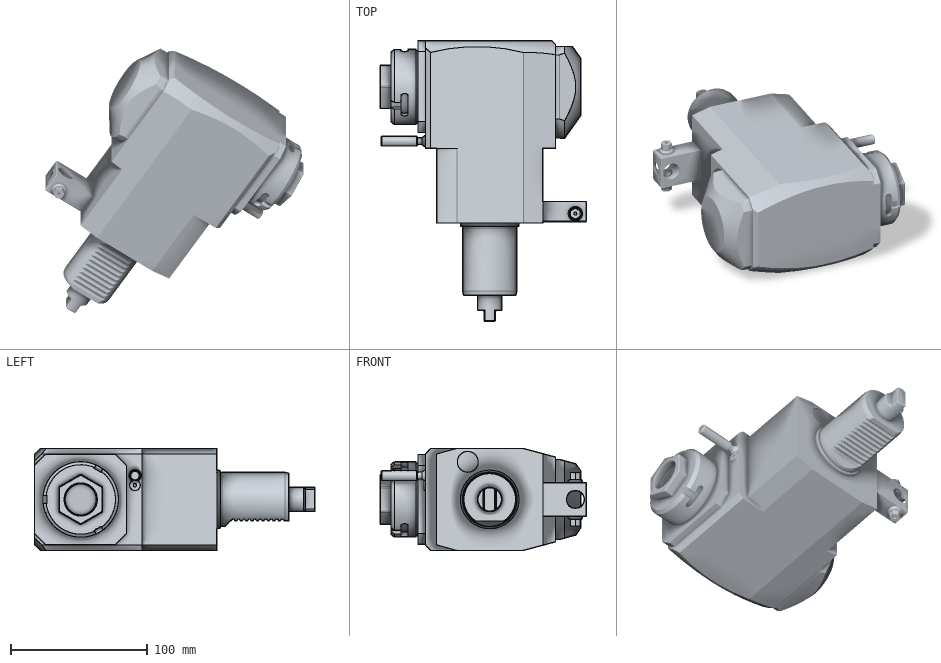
import cadquery as cq
import math


HALF_HEIGHT = 37.5
BACK_Y = 134.0
SHOULDER_Y = 54.9
HEAD_LEFT_X = -47.2
HEAD_RIGHT_X = 48.3
NECK_HALF_WIDTH = 39.0
SIDE_HALF_HEIGHT = 33.3
HEAD_CHAMFER_X = 3.8
NECK_BEVEL_X = 15.0
TAPER_ANGLE = 15.0
TAPER_START_X = 24.6
BACK_CHAMFER = 4.4
BACK_ARC_RADIUS = 136.0
BACK_ARC_CENTER_X = -9.5
BACK_CORNER_CHAMFER = 2.9
PLUG_X = -16.1
PLUG_Z = 27.6
PLUG_DIAMETER = 15.3
PLUG_RECESS = 1.0

SPINDLE_Y = 100.0
PLATE_LEFT_X = -52.8
PLATE_LENGTH = 67.5
PLATE_HALF_HEIGHT = 33.0
PLATE_CHAMFER = 8.0
GAP_LENGTH = 1.4
GAP_RADIUS = 26.8
NUT_RADIUS = 27.7
NUT_RIGHT_X = PLATE_LEFT_X - GAP_LENGTH
NUT_LEFT_X = -72.6
NUT_CHAMFER_LENGTH = 2.6
NUT_CHAMFER_DEPTH = 2.2
NUT_SLOT_COUNT = 3
NUT_SLOT_DEPTH = 3.6
NUT_SLOT_CENTER_X = -62.5
NUT_SLOT_WIDTH = 5.4
NUT_SLOT_LENGTH = 19.2
NUT_NOTCH_WIDTH = 5.8
NUT_NOTCH_DEPTH = 3.0
HEX_LEFT_X = -80.5
HEX_ACROSS_FLATS = 32.0
HEX_EDGE_FILLET = 1.2
HEX_EDGE_CHAMFER = 0.5
HEX_BORE_DIAMETER = 24.4
HEX_BORE_DEPTH = 7.0
HEX_BORE_CHAMFER = 0.4

PIN_Y = 60.2
PIN_Z = 17.5
PIN_LEFT_X = -79.8
PIN_RIGHT_X = -53.0
PIN_RADIUS = 3.7
PIN_CHAMFER = 0.6
PIN_NECK_RADIUS = 2.6
PIN_CONE_START_X = -49.8
PIN_BASE_RADIUS = 4.4
SCREW_Z = 10.4
SCREW_RADIUS = 3.9
SCREW_HEIGHT = 1.2
SCREW_SOCKET_DIAMETER = 2.4

COVER_RIM_X = 55.0
COVER_RIGHT_X = 66.9
COVER_RADIUS = 37.7
COVER_END_RADIUS = 20.9
COVER_TOP_Y = SPINDLE_Y + 29.8
COVER_HALF_HEIGHT = 29.4
COVER_TAPER_START_X = 51.3

SHANK_RADIUS = 20.0
SHANK_END_Y = -53.0
SHANK_END_TAPER = 3.2
SHANK_END_RELIEF = 0.6
SHANK_END_CHAMFER = 0.5
FLANGE_RADIUS = 21.5
FLANGE_LENGTH = 2.4
FLANGE_FILLET = 1.0
NECK_LENGTH = 1.2
NECK_RELIEF = 0.3
RACK_FLAT_Z = -15.8
RACK_RAMP_END_Y = -9.7
RACK_PITCH = 4.0
RACK_GROOVES = 10
RACK_FIRST_Y = -11.8
RACK_DEPTH = 1.4
RACK_MOUTH = 3.2
RACK_ROOT = 0.9

DRIVE_RADIUS = 9.0
DRIVE_END_Y = -72.0
TANG_SHOULDER_Y = -64.0
TANG_THICKNESS = 8.3
DRIVE_CHAMFER = 0.4
TANG_EDGE_CHAMFER = 0.8
TANG_END_CHAMFER = 0.5
TANG_ROOT = 0.8

ARM_END_X = 71.0
ARM_FRONT_Y = 1.0
ARM_BACK_Y = 16.0
ARM_HALF_HEIGHT = 12.5
ARM_CHAMFER = 0.5
ARM_HOLE_X = 62.8
ARM_HOLE_DIAMETER = 13.0
ARM_CROSS_HOLE_DIAMETER = 9.0
BOLT_Y = 7.0
BOLT_FLANGE_RADIUS = 5.2
BOLT_FLANGE_STEP_RADIUS = 4.4
BOLT_FLANGE_HEIGHT = 1.2
BOLT_STEP_HEIGHT = 1.0
BOLT_HEAD_ACROSS_FLATS = 7.0
BOLT_BORE_RADIUS = 4.6
BOLT_TIP_RADIUS = 3.5
BOLT_TIP_Z = 6.2
BOLT_HEAD_TOP_Z = 19.6
BOLT_SOCKET_DIAMETER = 2.2
BOLT_SOCKET_DEPTH = 3.0

OVERLAP = 1.0
HEX_SIDES = 6
HEX_HALF_ANGLE = 180 / HEX_SIDES
TAPER_SLOPE = math.tan(math.radians(TAPER_ANGLE))


def revolve_about_x(points, y, z):
    """Solid of revolution about the line parallel to X through (y, z); points are (x, radius)."""
    profile = cq.Workplane("XY").polyline(points).close()
    return profile.revolve(360, (0, 0, 0), (1, 0, 0)).translate((0, y, z))


def revolve_about_y(points):
    """Solid of revolution about the Y axis; points are (radius, y)."""
    return cq.Workplane("XY").polyline(points).close().revolve(360, (0, 0, 0), (0, 1, 0))


def cylinder_x(radius, x_start, x_end, y, z):
    plane = cq.Workplane("YZ", origin=(x_start, y, z))
    return plane.circle(radius).extrude(x_end - x_start)


def block(x_range, y_range, z_range):
    size = [high - low for low, high in (x_range, y_range, z_range)]
    corner = (x_range[0], y_range[0], z_range[0])
    return cq.Workplane("XY").box(*size, centered=False).translate(corner)


def taper_height(x):
    return HALF_HEIGHT - (x - TAPER_START_X) * TAPER_SLOPE


def housing_section(left_x, bevel_x, right_x, y_start, y_end):
    """Housing cross-section with a bevelled left side and a tapered right side."""
    upper = [
        (left_x, SIDE_HALF_HEIGHT),
        (left_x + bevel_x, HALF_HEIGHT),
        (TAPER_START_X, HALF_HEIGHT),
        (right_x, taper_height(right_x)),
    ]
    lower = [(x, -z) for x, z in reversed(upper)]
    plane = cq.Workplane("XZ", origin=(0, y_start, 0))
    return plane.polyline(upper + lower).close().extrude(y_start - y_end)


def make_housing():
    head = housing_section(HEAD_LEFT_X, HEAD_CHAMFER_X, HEAD_RIGHT_X, SHOULDER_Y, BACK_Y)
    head = head.edges("|Z and >X and >Y").chamfer(BACK_CORNER_CHAMFER)
    middle_radius = BACK_ARC_RADIUS + HALF_HEIGHT
    double_cone = (
        cq.Workplane("XZ")
        .polyline([
            (0, -HALF_HEIGHT),
            (BACK_ARC_RADIUS, -HALF_HEIGHT),
            (middle_radius, 0),
            (BACK_ARC_RADIUS, HALF_HEIGHT),
            (0, HALF_HEIGHT),
        ])
        .close()
        .revolve(360, (0, 0, 0), (0, 1, 0))
        .translate((BACK_ARC_CENTER_X, BACK_Y - BACK_CHAMFER - BACK_ARC_RADIUS, 0))
    )
    head = head.intersect(double_cone)
    neck = housing_section(-NECK_HALF_WIDTH, NECK_BEVEL_X, NECK_HALF_WIDTH, 0, SHOULDER_Y + OVERLAP)
    plug = cq.Workplane("XZ", origin=(PLUG_X, 0, PLUG_Z)).circle(PLUG_DIAMETER / 2).extrude(-PLUG_RECESS)
    return head.union(neck).cut(plug)


def make_plate():
    plate = block(
        (PLATE_LEFT_X, HEAD_LEFT_X + OVERLAP),
        (BACK_Y - PLATE_LENGTH, BACK_Y),
        (-PLATE_HALF_HEIGHT, PLATE_HALF_HEIGHT),
    )
    return plate.edges("|X").chamfer(PLATE_CHAMFER)


def make_nut_slot():
    """Rounded slot along the nut's rim, open to a notch in its end face, on the +Y side."""
    outer_radius = NUT_RADIUS + OVERLAP
    floor_radius = NUT_RADIUS - NUT_SLOT_DEPTH
    slot = (
        cq.Workplane("XZ", origin=(NUT_SLOT_CENTER_X, 0, 0))
        .slot2D(NUT_SLOT_LENGTH, NUT_SLOT_WIDTH, 90)
        .extrude(-outer_radius)
        .cut(cylinder_x(floor_radius, NUT_LEFT_X, NUT_RIGHT_X, 0, 0))
    )
    notch = block(
        (NUT_LEFT_X - OVERLAP, NUT_SLOT_CENTER_X),
        (NUT_RADIUS - NUT_NOTCH_DEPTH, outer_radius),
        (-NUT_NOTCH_WIDTH / 2, NUT_NOTCH_WIDTH / 2),
    )
    return slot.union(notch)


def make_nut():
    nut = revolve_about_x(
        [
            (NUT_LEFT_X, 0),
            (NUT_LEFT_X, NUT_RADIUS - NUT_CHAMFER_DEPTH),
            (NUT_LEFT_X + NUT_CHAMFER_LENGTH, NUT_RADIUS),
            (NUT_RIGHT_X, NUT_RADIUS),
            (NUT_RIGHT_X, GAP_RADIUS),
            (PLATE_LEFT_X + OVERLAP, GAP_RADIUS),
            (PLATE_LEFT_X + OVERLAP, 0),
        ],
        0,
        0,
    )
    slot = make_nut_slot()
    for index in range(NUT_SLOT_COUNT):
        nut = nut.cut(slot.rotate((0, 0, 0), (1, 0, 0), index * 360 / NUT_SLOT_COUNT))
    return nut.translate((0, SPINDLE_Y, 0))


def make_hexagon():
    corner_diameter = HEX_ACROSS_FLATS / math.cos(math.radians(HEX_HALF_ANGLE))
    hexagon = (
        cq.Workplane("YZ", origin=(HEX_LEFT_X, 0, 0))
        .polygon(HEX_SIDES, corner_diameter)
        .extrude(NUT_LEFT_X + OVERLAP - HEX_LEFT_X)
        .rotate((0, 0, 0), (1, 0, 0), 90)
        .edges("|X")
        .fillet(HEX_EDGE_FILLET)
        .faces("<X")
        .chamfer(HEX_EDGE_CHAMFER)
    )
    bore_radius = HEX_BORE_DIAMETER / 2
    floor_x = HEX_LEFT_X + HEX_BORE_DEPTH
    bore = revolve_about_x(
        [
            (HEX_LEFT_X, 0),
            (HEX_LEFT_X, bore_radius),
            (HEX_LEFT_X + HEX_BORE_CHAMFER, bore_radius - HEX_BORE_CHAMFER),
            (floor_x - HEX_BORE_CHAMFER, bore_radius - HEX_BORE_CHAMFER),
            (floor_x, bore_radius - 2 * HEX_BORE_CHAMFER),
            (floor_x, 0),
        ],
        0,
        0,
    )
    return hexagon.cut(bore).translate((0, SPINDLE_Y, 0))


def make_pin():
    return revolve_about_x(
        [
            (PIN_LEFT_X, 0),
            (PIN_LEFT_X, PIN_RADIUS - PIN_CHAMFER),
            (PIN_LEFT_X + PIN_CHAMFER, PIN_RADIUS),
            (PIN_RIGHT_X - PIN_CHAMFER, PIN_RADIUS),
            (PIN_RIGHT_X, PIN_RADIUS - PIN_CHAMFER),
            (PIN_RIGHT_X, PIN_NECK_RADIUS),
            (PIN_CONE_START_X, PIN_NECK_RADIUS),
            (HEAD_LEFT_X, PIN_BASE_RADIUS),
            (HEAD_LEFT_X + OVERLAP, PIN_BASE_RADIUS),
            (HEAD_LEFT_X + OVERLAP, 0),
        ],
        PIN_Y,
        PIN_Z,
    )


def make_small_screw():
    left_x = HEAD_LEFT_X - SCREW_HEIGHT
    screw = cylinder_x(SCREW_RADIUS, left_x, HEAD_LEFT_X + OVERLAP, PIN_Y, SCREW_Z)
    socket = cylinder_x(SCREW_SOCKET_DIAMETER / 2, left_x, HEAD_LEFT_X, PIN_Y, SCREW_Z)
    return screw.cut(socket)


def make_cover():
    start_x = HEAD_RIGHT_X - OVERLAP
    cover = revolve_about_x(
        [
            (start_x, 0),
            (start_x, COVER_RADIUS),
            (COVER_RIM_X, COVER_RADIUS),
            (COVER_RIGHT_X, COVER_END_RADIUS),
            (COVER_RIGHT_X, 0),
        ],
        SPINDLE_Y,
        0,
    )
    end_height = COVER_HALF_HEIGHT - (COVER_RIGHT_X - COVER_TAPER_START_X) * TAPER_SLOPE
    upper = [
        (start_x, COVER_HALF_HEIGHT),
        (COVER_TAPER_START_X, COVER_HALF_HEIGHT),
        (COVER_RIGHT_X, end_height),
    ]
    lower = [(x, -z) for x, z in reversed(upper)]
    envelope = (
        cq.Workplane("XZ", origin=(0, COVER_TOP_Y, 0))
        .polyline(upper + lower)
        .close()
        .extrude(COVER_TOP_Y - SPINDLE_Y + COVER_RADIUS)
    )
    return cover.intersect(envelope)


def make_rack_cut():
    """Flat with a run-out ramp and cross grooves on the underside of the shank."""
    bottom_z = -FLANGE_RADIUS
    ramp_start_y = RACK_RAMP_END_Y + RACK_FLAT_Z - bottom_z
    flat = (
        cq.Workplane("YZ")
        .polyline([
            (ramp_start_y, bottom_z),
            (RACK_RAMP_END_Y, RACK_FLAT_Z),
            (SHANK_END_Y, RACK_FLAT_Z),
            (SHANK_END_Y, bottom_z),
        ])
        .close()
        .extrude(SHANK_RADIUS, both=True)
    )
    for index in range(RACK_GROOVES):
        center_y = RACK_FIRST_Y - index * RACK_PITCH
        groove = (
            cq.Workplane("YZ")
            .polyline([
                (center_y - RACK_MOUTH / 2, RACK_FLAT_Z),
                (center_y - RACK_ROOT / 2, RACK_FLAT_Z + RACK_DEPTH),
                (center_y + RACK_ROOT / 2, RACK_FLAT_Z + RACK_DEPTH),
                (center_y + RACK_MOUTH / 2, RACK_FLAT_Z),
            ])
            .close()
            .extrude(SHANK_RADIUS, both=True)
        )
        flat = flat.union(groove)
    return flat


def make_shank():
    end_radius = SHANK_RADIUS - SHANK_END_RELIEF
    shank = revolve_about_y([
        (0, OVERLAP),
        (SHANK_RADIUS - NECK_RELIEF, OVERLAP),
        (SHANK_RADIUS - NECK_RELIEF, -FLANGE_LENGTH),
        (SHANK_RADIUS, -FLANGE_LENGTH - NECK_LENGTH),
        (SHANK_RADIUS, SHANK_END_Y + SHANK_END_TAPER),
        (end_radius, SHANK_END_Y + SHANK_END_CHAMFER),
        (end_radius - SHANK_END_CHAMFER, SHANK_END_Y),
        (0, SHANK_END_Y),
    ])
    flange = (
        cq.Workplane("XZ", origin=(0, OVERLAP, 0))
        .circle(FLANGE_RADIUS)
        .extrude(FLANGE_LENGTH + OVERLAP)
        .faces("<Y")
        .edges()
        .fillet(FLANGE_FILLET)
    )
    return shank.cut(make_rack_cut()).union(flange)


def make_drive():
    """Drive journal ending in a flat tang with a flared root."""
    journal_start_y = SHANK_END_Y + OVERLAP
    half_thickness = TANG_THICKNESS / 2
    round_bar = (
        cq.Workplane("XZ", origin=(0, journal_start_y, 0))
        .circle(DRIVE_RADIUS)
        .extrude(journal_start_y - DRIVE_END_Y)
    )
    journal = (
        cq.Workplane("XZ", origin=(0, journal_start_y, 0))
        .circle(DRIVE_RADIUS)
        .extrude(journal_start_y - TANG_SHOULDER_Y)
        .faces("<Y")
        .chamfer(DRIVE_CHAMFER)
    )
    flat_bar = block(
        (-half_thickness, half_thickness),
        (DRIVE_END_Y, journal_start_y),
        (-DRIVE_RADIUS, DRIVE_RADIUS),
    )
    tang = round_bar.intersect(flat_bar)
    tang = tang.edges("|Y").chamfer(TANG_EDGE_CHAMFER)
    tang = tang.faces("<Y").chamfer(TANG_END_CHAMFER)
    root = (
        cq.Workplane("XY")
        .polyline([
            (-half_thickness - TANG_ROOT, TANG_SHOULDER_Y),
            (-half_thickness, TANG_SHOULDER_Y - TANG_ROOT),
            (half_thickness, TANG_SHOULDER_Y - TANG_ROOT),
            (half_thickness + TANG_ROOT, TANG_SHOULDER_Y),
        ])
        .close()
        .extrude(DRIVE_RADIUS - TANG_EDGE_CHAMFER, both=True)
        .intersect(round_bar)
    )
    return journal.union(tang).union(root)


def make_bolt():
    """Flanged hexagon bolt on the arm's upper face, its tip just reaching into the arm's hole."""
    step_z = ARM_HALF_HEIGHT + BOLT_FLANGE_HEIGHT
    head_z = step_z + BOLT_STEP_HEIGHT
    base = cq.Workplane("XY", origin=(ARM_HOLE_X, BOLT_Y, ARM_HALF_HEIGHT))
    flange = base.circle(BOLT_FLANGE_RADIUS).extrude(BOLT_FLANGE_HEIGHT)
    step = (
        cq.Workplane("XY", origin=(ARM_HOLE_X, BOLT_Y, step_z))
        .circle(BOLT_FLANGE_RADIUS)
        .workplane(offset=BOLT_STEP_HEIGHT)
        .circle(BOLT_FLANGE_STEP_RADIUS)
        .loft()
    )
    head = (
        cq.Workplane("XY", origin=(ARM_HOLE_X, BOLT_Y, head_z))
        .transformed(rotate=(0, 0, HEX_HALF_ANGLE))
        .polygon(HEX_SIDES, BOLT_HEAD_ACROSS_FLATS / math.cos(math.radians(HEX_HALF_ANGLE)))
        .extrude(BOLT_HEAD_TOP_Z - head_z)
    )
    shaft = (
        cq.Workplane("XY", origin=(ARM_HOLE_X, BOLT_Y, BOLT_TIP_Z))
        .circle(BOLT_TIP_RADIUS)
        .extrude(step_z - BOLT_TIP_Z)
    )
    socket = (
        cq.Workplane("XY", origin=(ARM_HOLE_X, BOLT_Y, BOLT_HEAD_TOP_Z - BOLT_SOCKET_DEPTH))
        .circle(BOLT_SOCKET_DIAMETER / 2)
        .extrude(BOLT_SOCKET_DEPTH)
    )
    return flange.union(step).union(head).union(shaft).cut(socket)


def make_arm():
    arm = block(
        (NECK_HALF_WIDTH - OVERLAP, ARM_END_X),
        (ARM_FRONT_Y, ARM_BACK_Y),
        (-ARM_HALF_HEIGHT, ARM_HALF_HEIGHT),
    )
    arm = arm.faces(">X").chamfer(ARM_CHAMFER)
    arm = arm.edges("|X and <Y").chamfer(ARM_CHAMFER)
    hole = (
        cq.Workplane("XZ", origin=(ARM_HOLE_X, ARM_BACK_Y, 0))
        .circle(ARM_HOLE_DIAMETER / 2)
        .extrude(ARM_BACK_Y - ARM_FRONT_Y)
    )
    cross_hole = cylinder_x(ARM_CROSS_HOLE_DIAMETER / 2, ARM_HOLE_X, ARM_END_X, BOLT_Y, 0)
    bolt_bore = (
        cq.Workplane("XY", origin=(ARM_HOLE_X, BOLT_Y, 0))
        .circle(BOLT_BORE_RADIUS)
        .extrude(ARM_HALF_HEIGHT, both=True)
    )
    bolt = make_bolt()
    return arm.cut(hole).cut(cross_hole).cut(bolt_bore).union(bolt).union(bolt.mirror("XY"))


result = make_housing()
for component in (
    make_plate(),
    make_nut(),
    make_hexagon(),
    make_pin(),
    make_small_screw(),
    make_cover(),
    make_shank(),
    make_drive(),
    make_arm(),
):
    result = result.union(component)